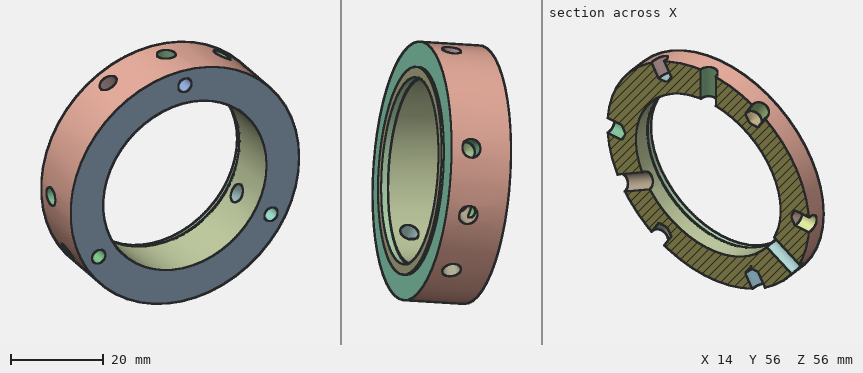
import cadquery as cq
import math

outer_diameter = 56.0
bore_diameter = 40.0
recess_diameter = 40.5
face_diameter = 45.0
total_width = 14.0
face_height = 0.5
recess_depth = 1.5

hole_diameter = 4.1
spanner_hole_x = 5.0
spanner_hole_depth = 4.0
spanner_hole_count = 6
drill_point_angle = 118.0
screw_hole_x = 5.5
screw_hole_count = 3
first_screw_angle = 90.0

axial_hole_diameter = 3.25
axial_hole_radius_from_axis = 24.35

outer_radius = outer_diameter / 2
hole_radius = hole_diameter / 2


def cylinder_along_x(diameter, start, end):
    return cq.Workplane("YZ").workplane(offset=start).circle(diameter / 2).extrude(end - start)


def radial_plane(angle, axial_position, radius):
    """Plane facing outward at an angle measured from +Y towards +Z."""
    centre = cq.Plane(origin=(axial_position, 0, 0), xDir=(1, 0, 0), normal=(0, 1, 0))
    turned = centre.rotated((angle, 0, 0))
    turned.origin = turned.toWorldCoords((0, 0, radius))
    return cq.Workplane(turned)


def spanner_hole(angle):
    """Blind hole with a conical drill point."""
    point_height = hole_radius / math.tan(math.radians(drill_point_angle / 2))
    floor_radius = outer_radius - spanner_hole_depth
    shank = radial_plane(angle, spanner_hole_x, floor_radius).circle(hole_radius).extrude(outer_radius)
    axis = radial_plane(angle, spanner_hole_x, floor_radius).plane
    point = cq.Solid.makeCone(hole_radius, 0, point_height, axis.origin, -axis.zDir)
    return shank.union(cq.Workplane(point))


def screw_hole(angle):
    """Hole running from the rim into the bore."""
    return radial_plane(angle, screw_hole_x, 0).circle(hole_radius).extrude(outer_diameter)


def axial_hole(angle):
    """Hole from the plain face at X = total_width to the axis of a screw hole."""
    hole = cylinder_along_x(axial_hole_diameter, screw_hole_x, total_width)
    hole = hole.translate((0, axial_hole_radius_from_axis, 0))
    return hole.rotate((0, 0, 0), (1, 0, 0), angle)


body = cylinder_along_x(outer_diameter, face_height, total_width)
body = body.union(cylinder_along_x(face_diameter, 0, face_height))
body = body.cut(cylinder_along_x(bore_diameter, 0, total_width))
body = body.cut(cylinder_along_x(recess_diameter, 0, recess_depth))

for index in range(spanner_hole_count):
    body = body.cut(spanner_hole(index * 360 / spanner_hole_count))

for index in range(screw_hole_count):
    screw_angle = first_screw_angle + index * 360 / screw_hole_count
    body = body.cut(screw_hole(screw_angle))
    body = body.cut(axial_hole(screw_angle))

result = body